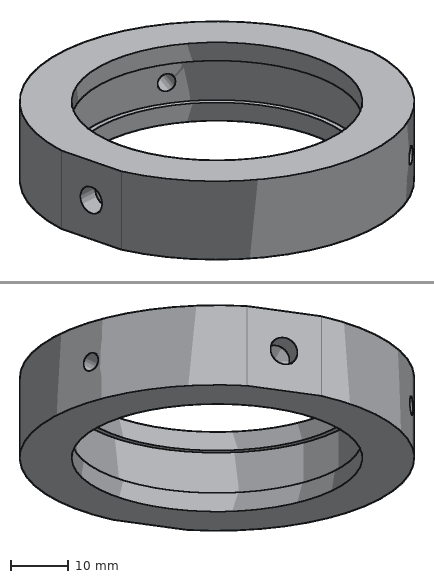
import cadquery as cq
import math

OUTER_DIAMETER = 69.0
BORE_DIAMETER = 50.8
HEIGHT = 15.0
ACROSS_FLATS = 67.6

GROOVE_DEPTH = 1.1
LIP_HEIGHT = 3.5

FLAT_HOLE_DIAMETER = 5.0
FLAT_HOLE_DEPTH = 4.0
DRILL_POINT_ANGLE = 118.0

RADIAL_HOLE_DIAMETER = 3.3
RADIAL_HOLE_ANGLES = (30.0, 150.0)

MID_HEIGHT = HEIGHT / 2


def ring_body():
    """Ring with two parallel flats on its -Y and +Y sides."""
    disc = cq.Workplane("XY").circle(OUTER_DIAMETER / 2).extrude(HEIGHT)
    flats = cq.Workplane("XY").rect(OUTER_DIAMETER, ACROSS_FLATS).extrude(HEIGHT)
    bore = cq.Workplane("XY").circle(BORE_DIAMETER / 2).extrude(HEIGHT)
    return disc.intersect(flats).cut(bore)


def groove():
    """Disc that widens the bore between the top and bottom lips."""
    radius = BORE_DIAMETER / 2 + GROOVE_DEPTH
    width = HEIGHT - 2 * LIP_HEIGHT
    return cq.Workplane("XY").workplane(offset=LIP_HEIGHT).circle(radius).extrude(width)


def flat_hole(side):
    """Drilled blind hole with a conical end; side is -1 for the -Y flat, +1 for the +Y flat."""
    radius = FLAT_HOLE_DIAMETER / 2
    point_length = radius / math.tan(math.radians(DRILL_POINT_ANGLE / 2))
    mouth = side * ACROSS_FLATS / 2
    shoulder = mouth - side * FLAT_HOLE_DEPTH
    tip = shoulder - side * point_length
    profile = (
        cq.Workplane("XY")
        .workplane(offset=MID_HEIGHT)
        .polyline([(0, mouth), (radius, mouth), (radius, shoulder), (0, tip)])
        .close()
    )
    return profile.revolve(360, (0, 0), (0, 1))


def radial_hole(angle):
    """Cylinder running from the ring axis out through the wall at the given angle."""
    direction = cq.Vector(math.cos(math.radians(angle)), math.sin(math.radians(angle)), 0)
    start = cq.Vector(0, 0, MID_HEIGHT)
    return cq.Solid.makeCylinder(RADIAL_HOLE_DIAMETER / 2, OUTER_DIAMETER, start, direction)


result = ring_body().cut(groove())
for flat_side in (-1, 1):
    result = result.cut(flat_hole(flat_side))
for hole_angle in RADIAL_HOLE_ANGLES:
    result = result.cut(radial_hole(hole_angle))